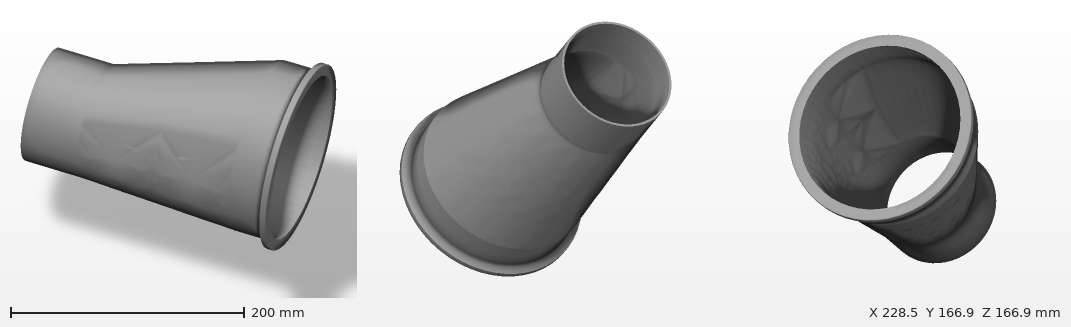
import cadquery as cq
import math

total_length = 228.5
small_tube_length = 51.0
large_tube_start = 190.7
flange_rim_width = 5.5

small_outer = 101.5
small_bore = 97.4
large_outer = 152.5
large_bore = 146.8
flange_outer = 166.9

flange_slope = 20.0
root_fillet = 1.8
rim_fillet = 1.0

cone_length = large_tube_start - small_tube_length
large_tube_length = total_length - large_tube_start
rim_start = total_length - flange_rim_width
flange_height = (flange_outer - large_outer) / 2
flange_start = rim_start - flange_height * math.tan(math.radians(flange_slope))

eccentric_offset = -(large_outer - small_outer) / 2


def circle_at(x, y, diameter):
    """Circle across the X axis, centred at (x, y, 0)."""
    return cq.Workplane("YZ", origin=(x, y, 0)).circle(diameter / 2)


def reducer(small_diameter, large_diameter):
    """Small tube, sloping transition and large tube as one solid body."""
    small_tube = circle_at(0, eccentric_offset, small_diameter).extrude(small_tube_length)
    transition = (
        circle_at(small_tube_length, eccentric_offset, small_diameter)
        .workplane(offset=cone_length)
        .center(-eccentric_offset, 0)
        .circle(large_diameter / 2)
        .loft(ruled=True)
    )
    large_tube = circle_at(large_tube_start, 0, large_diameter).extrude(large_tube_length)
    return small_tube.union(transition).union(large_tube)


def clamp_flange():
    """Flange with a sloping back face and a straight rim."""
    profile = [
        (flange_start, 0),
        (flange_start, large_outer / 2),
        (rim_start, flange_outer / 2),
        (total_length, flange_outer / 2),
        (total_length, 0),
    ]
    return cq.Workplane("XY").polyline(profile).close().revolve(360, (0, 0, 0), (1, 0, 0))


def edge_at(x, radius):
    """Selector for the circular edge of this radius around the main axis at position x."""
    tolerance = 0.11
    return cq.selectors.BoxSelector(
        (x - tolerance, -radius - tolerance, -radius - tolerance),
        (x + tolerance, radius + tolerance, radius + tolerance),
        boundingbox=True,
    )


outer_body = reducer(small_outer, large_outer).union(clamp_flange())
outer_body = outer_body.edges(edge_at(flange_start, large_outer / 2)).fillet(root_fillet)
outer_body = outer_body.edges(edge_at(total_length, flange_outer / 2)).fillet(rim_fillet)
result = outer_body.cut(reducer(small_bore, large_bore))